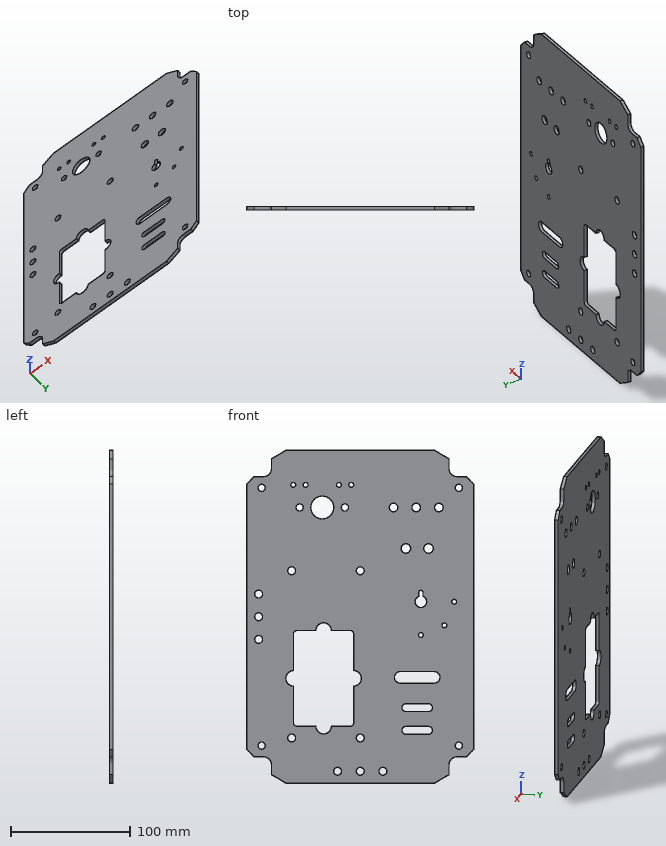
import cadquery as cq
import math

plate_width = 190.5
plate_height = 279.5
plate_thickness = 3.0

tab_half_width = 74.5
tab_bevel_x = 12.3
tab_bevel_z = 7.3
shoulder_z = 117.5
shoulder_bevel_x = 6.1
shoulder_bevel_z = 6.5
step_fillet = 6.5

hole_pitch = 19.0
mount_hole_diameter = 6.5
corner_hole_diameter = 6.0
corner_hole_x = 82.7
corner_hole_z = 108.0
bottom_row_z = -129.6
left_column_x = -85.2
post_columns_x = (-57.5, 0.0)
post_rows_z = (38.5, -101.7)
upper_row_z = 91.6
trio_center_x = 47.0
trio_hole_diameter = 7.0
pair_center_x = 47.8
pair_z = 57.3
pair_hole_diameter = 7.8

round_opening_x = -31.9
round_opening_diameter = 19.0
pin_hole_diameter = 4.0
pin_row_z = 110.6
pin_offsets = (14.0, 24.3)

keyhole_x = 50.9
keyhole_z = 12.5
keyhole_diameter = 9.5
keyhole_neck_width = 3.4
keyhole_top_z = 22.0
arc_hole_radius = 28.0
arc_hole_angles = (0, -45, -90)

slot_x = 47.8
large_slot_length = 38.0
large_slot_width = 9.5
large_slot_z = -50.9
small_slot_length = 25.5
small_slot_width = 6.5
small_slots_center_z = -85.8

window_x = -30.7
window_z = -51.7
window_width = 50.3
window_height = 80.2
window_corner_radius = 2.8
ear_radius = 6.5


def plate_blank():
    """Plate with the same bevelled and filleted step at all four corners."""
    half_width = plate_width / 2
    half_height = plate_height / 2
    corner = [
        (half_width, shoulder_z - shoulder_bevel_z),
        (half_width - shoulder_bevel_x, shoulder_z),
        (tab_half_width, shoulder_z),
        (tab_half_width, half_height - tab_bevel_z),
        (tab_half_width - tab_bevel_x, half_height),
    ]
    upper = corner + [(-x, z) for x, z in reversed(corner)]
    outline = upper + [(-x, -z) for x, z in upper]
    blank = (
        cq.Workplane("XZ")
        .polyline(outline)
        .close()
        .extrude(plate_thickness / 2, both=True)
    )
    for x in (-tab_half_width, tab_half_width):
        for z in (-shoulder_z, shoulder_z):
            inner_corner = cq.selectors.NearestToPointSelector((x, 0, z))
            blank = blank.edges(inner_corner).fillet(step_fillet)
    return blank


def round_cutter(points, diameter):
    return cq.Workplane("XZ").pushPoints(points).circle(diameter / 2).extrude(plate_thickness, both=True)


def box_cutter(x, z, width, height):
    return cq.Workplane("XZ").center(x, z).rect(width, height).extrude(plate_thickness, both=True)


def slot_cutter(points, length, width):
    return cq.Workplane("XZ").pushPoints(points).slot2D(length, width).extrude(plate_thickness, both=True)


def keyhole_cutter():
    neck_end_z = keyhole_top_z - keyhole_neck_width / 2
    neck_length = neck_end_z - keyhole_z
    neck = box_cutter(keyhole_x, keyhole_z + neck_length / 2, keyhole_neck_width, neck_length)
    neck_end = round_cutter([(keyhole_x, neck_end_z)], keyhole_neck_width)
    return round_cutter([(keyhole_x, keyhole_z)], keyhole_diameter).union(neck).union(neck_end)


def window_cutter():
    opening = box_cutter(window_x, window_z, window_width, window_height)
    opening = opening.edges("|Y").fillet(window_corner_radius)
    ear_centers = [
        (window_x - window_width / 2, window_z),
        (window_x + window_width / 2, window_z),
        (window_x, window_z - window_height / 2),
        (window_x, window_z + window_height / 2),
    ]
    return opening.union(round_cutter(ear_centers, 2 * ear_radius))


steps = (-hole_pitch, 0, hole_pitch)
half_steps = (-hole_pitch / 2, hole_pitch / 2)
mount_holes = [(step, bottom_row_z) for step in steps]
mount_holes += [(left_column_x, step) for step in steps]
mount_holes += [(x, z) for x in post_columns_x for z in post_rows_z]
corner_holes = [(sx * corner_hole_x, sz * corner_hole_z) for sx in (-1, 1) for sz in (-1, 1)]
side_holes = [(round_opening_x + side * hole_pitch, upper_row_z) for side in (-1, 1)]
trio_holes = [(trio_center_x + step, upper_row_z) for step in steps]
pair_holes = [(pair_center_x + step, pair_z) for step in half_steps]
pin_holes = [(round_opening_x + side * offset, pin_row_z) for side in (-1, 1) for offset in pin_offsets]
arc_holes = [
    (
        keyhole_x + arc_hole_radius * math.cos(math.radians(angle)),
        keyhole_z + arc_hole_radius * math.sin(math.radians(angle)),
    )
    for angle in arc_hole_angles
]
small_slots = [(slot_x, small_slots_center_z + step) for step in half_steps]

cutters = [
    round_cutter(mount_holes, mount_hole_diameter),
    round_cutter(corner_holes + side_holes, corner_hole_diameter),
    round_cutter(trio_holes, trio_hole_diameter),
    round_cutter(pair_holes, pair_hole_diameter),
    round_cutter([(round_opening_x, upper_row_z)], round_opening_diameter),
    round_cutter(pin_holes + arc_holes, pin_hole_diameter),
    slot_cutter([(slot_x, large_slot_z)], large_slot_length, large_slot_width),
    slot_cutter(small_slots, small_slot_length, small_slot_width),
    keyhole_cutter(),
    window_cutter(),
]

result = plate_blank()
for cutter in cutters:
    result = result.cut(cutter)